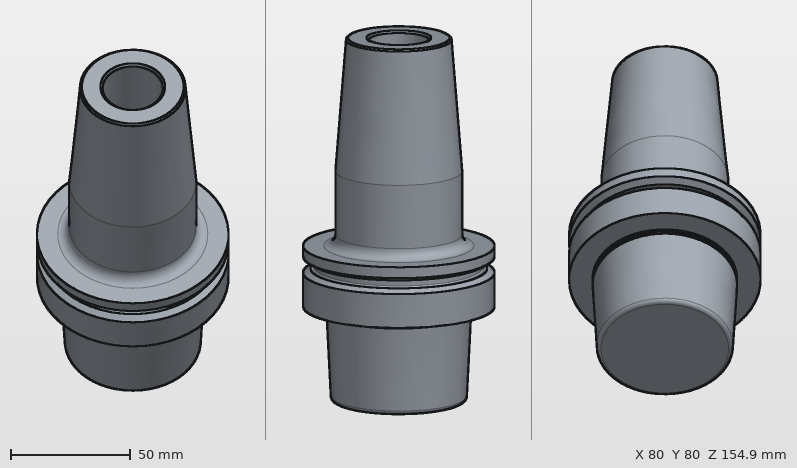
import cadquery as cq

total_height = 154.9

shank_end_radius = 28.3
shank_top_radius = 30.2
shank_end_round = 1.9
relief_bottom_z = 37.5
relief_top_z = 39.3
relief_depth = 0.3

flange_radius = 40.0
flange_bottom_z = 40.0
flange_top_z = 66.0
groove_floor_radius = 35.0
groove_corner_round = 0.6
groove_wall_radius = 36.9
groove_lower_lip_z = 54.5
groove_upper_lip_z = 61.3
groove_flare_height = 1.7

nose_radius = 26.5
nose_blend_radius = 4.8
cone_start_z = 97.9
tip_radius = 22.0
tip_chamfer = 0.8

bore_radius = 12.5
bore_depth = total_height - cone_start_z
bore_chamfer = 1.0


def make_shank():
    """Tapered shank with a rounded end and a shallow relief under the flange."""
    shank = (
        cq.Workplane("XZ")
        .polyline([
            (0, 0),
            (shank_end_radius, 0),
            (shank_top_radius, relief_bottom_z),
            (shank_top_radius - relief_depth, relief_bottom_z + relief_depth),
            (shank_top_radius - relief_depth, relief_top_z - relief_depth),
            (shank_top_radius, relief_top_z),
            (shank_top_radius, flange_bottom_z),
            (0, flange_bottom_z),
        ])
        .close()
        .revolve(360, (0, 0, 0), (0, 1, 0))
    )
    return shank.faces("<Z").edges().fillet(shank_end_round)


def make_flange():
    """Round flange with a flared, round-cornered groove around its rim."""
    lower_wall_z = groove_lower_lip_z + groove_flare_height
    upper_wall_z = groove_upper_lip_z - groove_flare_height
    return (
        cq.Workplane("XZ")
        .polyline([
            (0, flange_bottom_z),
            (flange_radius, flange_bottom_z),
            (flange_radius, groove_lower_lip_z),
            (groove_wall_radius, lower_wall_z),
            (groove_floor_radius + groove_corner_round, lower_wall_z),
        ])
        .radiusArc((groove_floor_radius, lower_wall_z + groove_corner_round), groove_corner_round)
        .lineTo(groove_floor_radius, upper_wall_z - groove_corner_round)
        .radiusArc((groove_floor_radius + groove_corner_round, upper_wall_z), groove_corner_round)
        .lineTo(groove_wall_radius, upper_wall_z)
        .lineTo(flange_radius, groove_upper_lip_z)
        .lineTo(flange_radius, flange_top_z)
        .lineTo(0, flange_top_z)
        .close()
        .revolve(360, (0, 0, 0), (0, 1, 0))
    )


def make_nose():
    """Nose with a concave blend at its foot and a chamfered conical tip."""
    blend_top_z = flange_top_z + nose_blend_radius
    nose = (
        cq.Workplane("XZ")
        .moveTo(0, flange_top_z)
        .lineTo(nose_radius + nose_blend_radius, flange_top_z)
        .radiusArc((nose_radius, blend_top_z), nose_blend_radius)
        .lineTo(nose_radius, cone_start_z)
        .lineTo(tip_radius, total_height)
        .lineTo(0, total_height)
        .close()
        .revolve(360, (0, 0, 0), (0, 1, 0))
    )
    return nose.faces(">Z").edges().chamfer(tip_chamfer)


def make_bore():
    """Blind bore with a chamfered mouth, as a cutting body."""
    floor_z = total_height - bore_depth
    return (
        cq.Workplane("XZ")
        .polyline([
            (0, floor_z),
            (bore_radius, floor_z),
            (bore_radius, total_height - bore_chamfer),
            (bore_radius + bore_chamfer, total_height),
            (0, total_height),
        ])
        .close()
        .revolve(360, (0, 0, 0), (0, 1, 0))
    )


result = make_shank().union(make_flange()).union(make_nose()).cut(make_bore())